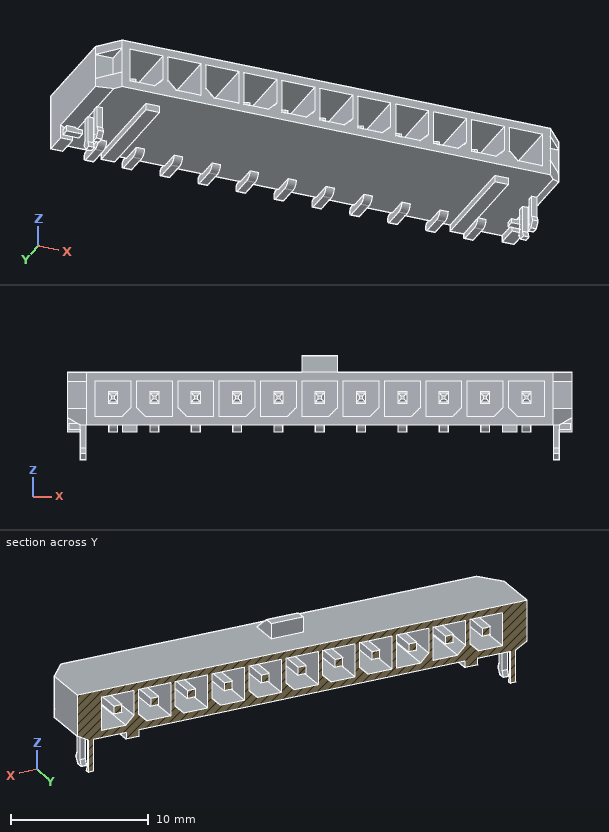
import cadquery as cq


LENGTH = 36.65
DEPTH = 9.9
TOP = 4.35
UNDERSIDE = 0.5
CORNER_X = 1.4
CORNER_Y = 1.7
CORNER_POCKET_BOTTOM = 1.72
CORNER_POCKET_TOP = 3.7

RELIEF_WIDTH = 0.95
RELIEF_TOP = 1.05
FOOT_FRONT = 8.05
RIB_WIDTH = 1.05
RIB_INSET = 4.0

POSITIONS = 11
ROW_SPAN = 30.0
PITCH = ROW_SPAN / (POSITIONS - 1)
CAVITY_SIZE = 2.6
CAVITY_FLOOR = 1.15
CAVITY_DEPTH = 7.33
CAVITY_CORNER = 0.65
LEFT_KEYED = (1, 2, 10)

PIN_WIDTH = 0.65
COLLAR_HEIGHT = 0.88
COLLAR_LENGTH = 0.75
PIN_CENTER_Z = 2.53
PIN_TIP_Y = 2.2
PIN_TAPER = 0.55
PIN_TIP_SIZE = 0.22
TAIL_HEIGHT = 0.65
TAIL_REACH = 0.8
TAIL_BEND_RADIUS = 0.62
TAIL_END_RADIUS = 0.3

LATCH_WIDTH = 2.6
LATCH_TOP = 5.57
LATCH_BACK = 3.0
LATCH_CREST = 2.2
LATCH_TOE = 0.65

CLIP_INSET = 0.9
CLIP_THICKNESS = 0.45
CLIP_CENTER_Y = 4.6
PRONG_INNER = 0.6
PRONG_OUTER = 1.1
BARB_OUTER = 1.3
TIP_INNER = 0.4
TIP_OUTER = 0.95
BARB_TOP = -1.15
BARB_PEAK = -1.55
PRONG_BOTTOM = -2.0
TAB_INSET = 0.1
TAB_BACK = 7.88
TAB_LENGTH = 0.65
TAB_BOTTOM = 0.2
TAB_TOP = 0.62

EMBED = 0.22


def box(x0, x1, y0, y1, z0, z1):
    return cq.Workplane("XY").box(x1 - x0, y1 - y0, z1 - z0, centered=False).translate((x0, y0, z0))


def extrude_x(yz_points, x0, x1):
    return cq.Workplane("YZ").workplane(offset=x0).polyline(yz_points).close().extrude(x1 - x0)


def on_both_ends(left_piece):
    return left_piece.union(left_piece.mirror("YZ"))


def make_housing():
    half = LENGTH / 2
    outline = [
        (-half + CORNER_X, 0),
        (half - CORNER_X, 0),
        (half, CORNER_Y),
        (half, DEPTH),
        (-half, DEPTH),
        (-half, CORNER_Y),
    ]
    body = cq.Workplane("XY").workplane(offset=UNDERSIDE).polyline(outline).close().extrude(TOP - UNDERSIDE)

    corner_pocket = box(-half, -half + CORNER_X, 0, CORNER_Y, CORNER_POCKET_BOTTOM, CORNER_POCKET_TOP)
    relief_section = [(-half, UNDERSIDE), (-half + RELIEF_WIDTH, UNDERSIDE), (-half, RELIEF_TOP)]
    relief = cq.Workplane("XZ").polyline(relief_section).close().extrude(-FOOT_FRONT)
    foot = box(-half, -half + RELIEF_WIDTH, FOOT_FRONT, DEPTH, 0, UNDERSIDE + EMBED)
    rib_left = -half + RIB_INSET
    rib = box(rib_left, rib_left + RIB_WIDTH, CORNER_Y, DEPTH, 0, UNDERSIDE + EMBED)

    body = body.cut(on_both_ends(corner_pocket)).cut(on_both_ends(relief))
    return body.union(on_both_ends(foot)).union(on_both_ends(rib))


def make_latch():
    profile = [
        (LATCH_BACK, TOP - EMBED),
        (LATCH_BACK, LATCH_TOP),
        (LATCH_CREST, LATCH_TOP),
        (LATCH_TOE, TOP),
        (LATCH_TOE, TOP - EMBED),
    ]
    return extrude_x(profile, -LATCH_WIDTH / 2, LATCH_WIDTH / 2)


def make_cavity(x, left_keyed):
    half = CAVITY_SIZE / 2
    cavity = box(-half, half, 0, CAVITY_DEPTH, CAVITY_FLOOR, CAVITY_FLOOR + CAVITY_SIZE)
    edge_x = -half if left_keyed else half
    edge = cq.selectors.NearestToPointSelector((edge_x, CAVITY_DEPTH / 2, CAVITY_FLOOR))
    return cavity.edges(edge).chamfer(CAVITY_CORNER).translate((x, 0, 0))


def make_contact(x):
    half = PIN_WIDTH / 2
    shank_front = PIN_TIP_Y + PIN_TAPER
    shank = box(-half, half, shank_front, CAVITY_DEPTH + EMBED, PIN_CENTER_Z - half, PIN_CENTER_Z + half)
    tip = (
        cq.Workplane("XZ", origin=(0, shank_front, PIN_CENTER_Z))
        .rect(PIN_WIDTH, PIN_WIDTH)
        .workplane(offset=PIN_TAPER)
        .rect(PIN_TIP_SIZE, PIN_TIP_SIZE)
        .loft()
    )
    collar = box(
        -half,
        half,
        CAVITY_DEPTH - COLLAR_LENGTH,
        CAVITY_DEPTH + EMBED,
        PIN_CENTER_Z - COLLAR_HEIGHT / 2,
        PIN_CENTER_Z + COLLAR_HEIGHT / 2,
    )
    tail = box(-half, half, FOOT_FRONT, DEPTH + TAIL_REACH, 0, TAIL_HEIGHT)
    tail = tail.faces(">Y").edges("|X").fillet(TAIL_END_RADIUS)
    tail = tail.faces("<Y").edges("|X and <Z").fillet(TAIL_BEND_RADIUS)
    return shank.union(tip).union(collar).union(tail).translate((x, 0, 0))


def make_clip():
    clip_left = -LENGTH / 2 + CLIP_INSET
    clip_right = clip_left + CLIP_THICKNESS
    tab_left = -LENGTH / 2 + TAB_INSET
    clip = box(tab_left, clip_right, TAB_BACK - TAB_LENGTH, TAB_BACK, TAB_BOTTOM, TAB_TOP)
    prong_profile = [
        (PRONG_INNER, UNDERSIDE + EMBED),
        (PRONG_OUTER, UNDERSIDE + EMBED),
        (PRONG_OUTER, BARB_TOP),
        (BARB_OUTER, BARB_PEAK),
        (TIP_OUTER, PRONG_BOTTOM),
        (TIP_INNER, PRONG_BOTTOM),
        (PRONG_INNER, BARB_PEAK),
    ]
    for side in (-1, 1):
        points = [(CLIP_CENTER_Y + side * offset, z) for offset, z in prong_profile]
        clip = clip.union(extrude_x(points, clip_left, clip_right))
    return clip


result = make_housing().union(make_latch()).union(on_both_ends(make_clip()))
for position in range(POSITIONS):
    contact_x = (position - (POSITIONS - 1) / 2) * PITCH
    result = result.cut(make_cavity(contact_x, position in LEFT_KEYED))
    result = result.union(make_contact(contact_x))